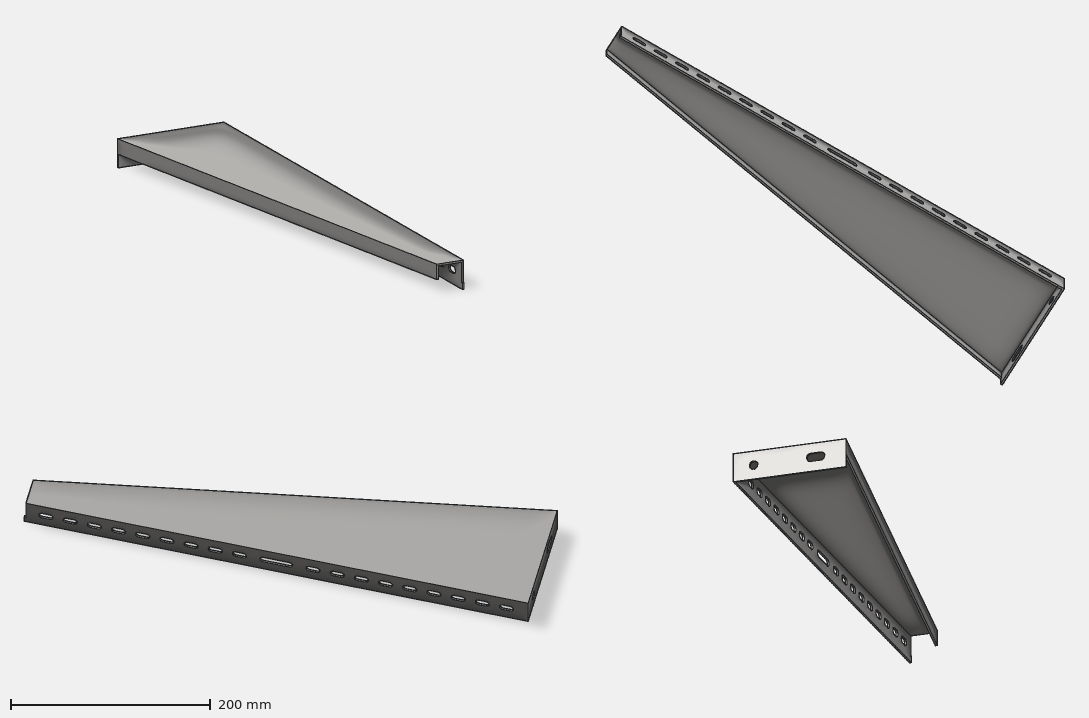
import cadquery as cq

length = 520.0
depth = 120.0
height = 30.0
sheet = 2.0

tip_depth = 30.0
lip_height = 16.0

tab_length = 1.5
tab_height = 7.0
body_length = length - tab_length

hole_diameter = 9.0
opening_z = height / 2
hole_from_back = 22.0
end_slot_from_back = 88.0
end_slot_length = 19.0

row_center = 260.0
slot_pitch = 25.0
slots_per_side = 9
slot_length = 14.5
slot_width = 7.5
first_slot_offset = 38.0
long_slot_length = 34.0


def tapered_shell():
    """Tapered channel: top plate, sloping front lip, and flanges at the back and wide end."""
    outline = [(0, 0), (0, -depth), (body_length, -tip_depth), (body_length, 0)]
    wedge = cq.Workplane("XY").polyline(outline).close().extrude(height)
    slope = (depth - tip_depth) / body_length
    lip_run = sheet * (1 + slope**2) ** 0.5
    inner_outline = [
        (sheet, -sheet),
        (sheet, -depth + slope * sheet + lip_run),
        (length, -depth + slope * length + lip_run),
        (length, -sheet),
    ]
    cavity = cq.Workplane("XY").polyline(inner_outline).close().extrude(height - sheet)
    below_lip = cq.Workplane("XY").box(length, depth, height - lip_height, centered=False)
    below_lip = below_lip.translate((sheet, -depth - sheet, 0))
    return wedge.cut(cavity).cut(below_lip)


def end_tab():
    """Low extension of the back flange beyond the top plate."""
    tab = cq.Workplane("XY").box(tab_length, sheet, tab_height, centered=False)
    return tab.translate((body_length, -sheet, 0))


def back_slots():
    """Cutters for the row of slots through the back flange."""
    centers = []
    for index in range(slots_per_side):
        offset = first_slot_offset + index * slot_pitch
        centers.append((row_center - offset, opening_z))
        centers.append((row_center + offset, opening_z))
    plane = cq.Workplane("XZ")
    short_slots = plane.pushPoints(centers).slot2D(slot_length, slot_width).extrude(sheet)
    long_slot = plane.center(row_center, opening_z).slot2D(long_slot_length, slot_width).extrude(sheet)
    return short_slots.union(long_slot)


def end_openings():
    """Cutters for the round hole and the slot through the wide end flange."""
    plane = cq.Workplane("YZ")
    hole = plane.center(-hole_from_back, opening_z).circle(hole_diameter / 2).extrude(sheet)
    slot = plane.center(-end_slot_from_back, opening_z).slot2D(end_slot_length, hole_diameter).extrude(sheet)
    return hole.union(slot)


result = tapered_shell().union(end_tab()).cut(back_slots()).cut(end_openings())